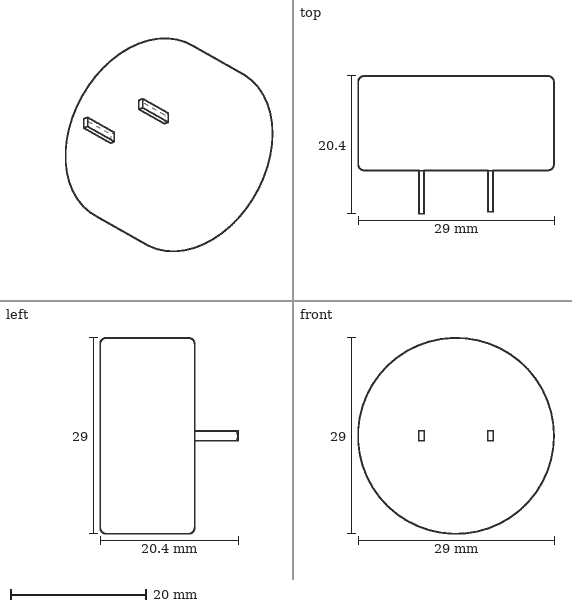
import cadquery as cq

body_diameter = 29.0
body_depth = 14.0
edge_radius = 0.95

pin_width = 0.75
pin_height = 1.5
pin_spacing = 10.2
left_pin_length = 6.4
right_pin_length = 6.1


def make_body():
    """Round can with both rims filleted."""
    can = cq.Workplane("XZ").circle(body_diameter / 2).extrude(-body_depth)
    return can.edges("%CIRCLE").fillet(edge_radius)


def make_pin(center_x, length):
    """Rectangular pin rising from the pin face toward -Y."""
    return cq.Workplane("XZ").center(center_x, 0).rect(pin_width, pin_height).extrude(length)


result = make_body()
for center_x, length in ((-pin_spacing / 2, left_pin_length), (pin_spacing / 2, right_pin_length)):
    result = result.union(make_pin(center_x, length))